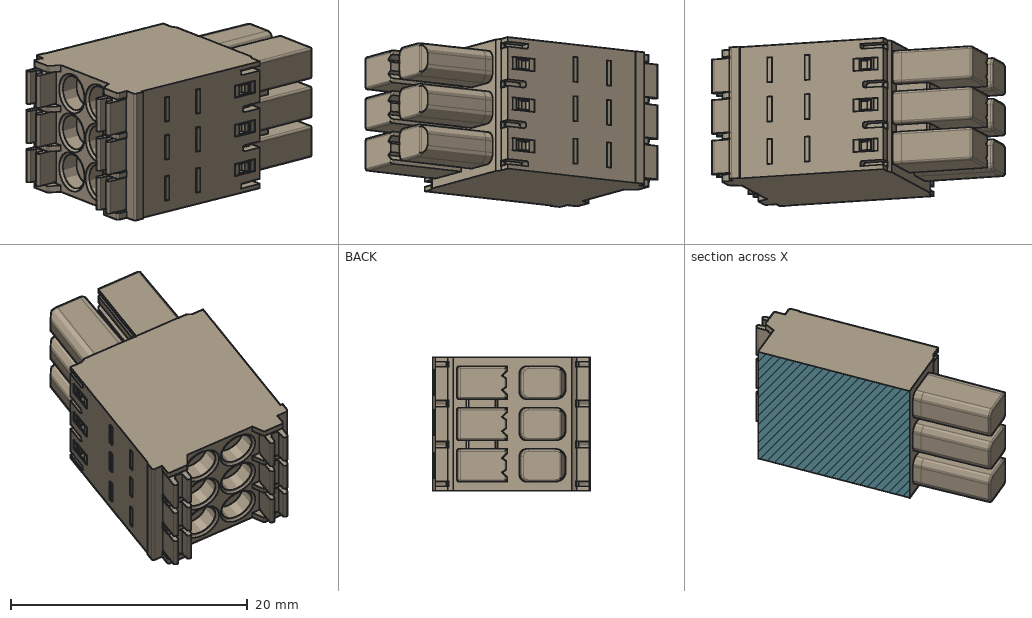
import cadquery as cq

ROW_PITCH = 3.49
ROW_HEIGHTS = [-ROW_PITCH, 0, ROW_PITCH]
OVERALL_LENGTH = 22.95
HEIGHT = 11.3
FRONT_TIP = -OVERALL_LENGTH / 2
BACK_TIP = OVERALL_LENGTH / 2

MIDDLE_X = -0.07
HOUSING_WIDTH = 13.04
HOUSING_LEFT = MIDDLE_X - HOUSING_WIDTH / 2
HOUSING_RIGHT = MIDDLE_X + HOUSING_WIDTH / 2
HOUSING_FRONT = -9.52
HOUSING_BACK = 4.22
RAISED_BACK = 4.45
RAISED_TOP_HALF_WIDTH = 5.0
RAISED_FOOT_HALF_WIDTH = 5.46

FLANGE_WIDTH = 13.3
FLANGE_LENGTH = 0.95
FLANGE_ROUND = 0.2

BORE_LEFT_X = -1.84
BORE_RIGHT_X = 1.72
BORE_DIAMETER = 2.94
BORE_MOUTH_DIAMETER = 3.4
BORE_DEPTH = 1.7

PLATE_OUTER = 5.67
PLATE_INNER_TIP = 3.76
PLATE_INNER_FOOT = 3.21
PLATE_LENGTH = 1.0
PLATE_ROUND = 0.18
MIDDLE_PLATE_THICKNESS = 0.48
END_PLATE_THICKNESS = 0.57

BLADE_HEIGHT = 2.87
BLADE_OUTER = 5.6
BLADE_INNER = 3.85
BLADE_FOOT_THICKNESS = 0.5
BLADE_TIP_THICKNESS = 0.44
BLADE_TIP_ROUND = 0.2
BLADE_GAP_FLOOR = -10.67
BLADE_GAP_ARCH = 0.18

POST_HEIGHT = 2.78
POST_TAPER_START = 5.19
LEFT_POST_LEFT = -4.6
LEFT_POST_RIGHT = -0.67
LEFT_POST_LEFT_ROUND = 0.9
LEFT_POST_RIGHT_ROUND = 0.62
LEFT_POST_LEFT_TAPER = 0.05
LEFT_POST_RIGHT_TAPER = 0.14
LEFT_POST_NOSE_WIDTH = 0.44
LEFT_POST_NOSE_LENGTH = 0.55
RIGHT_POST_LEFT = 0.37
RIGHT_POST_RIGHT = 4.61
RIGHT_POST_LIP = 0.37
RIGHT_POST_NOTCH_DEPTH = 0.44
RIGHT_POST_NOTCH_HALF = 0.6
RIGHT_POST_RIDGE = 0.35
RIGHT_POST_RIDGE_HALF = 0.37
RIGHT_POST_ROUND = 0.2
RIGHT_POST_TAPER = 0.1
POST_TIP_ROUND = 0.18
WEB_INSET = 0.8
WEB_BACK = 7.41
WEB_CHAMFER = 0.2

RIB_LENGTH = 0.4
RIB_FRONTS = [-2.75, -6.1]
RIB_HEIGHT = 2.13
RIB_MIDDLES = [-3.5, 0.14, 3.5]
RIB_PROTRUSION = 0.14
RIB_LEFT_PROTRUSION = 0.07

WINDOW_FRONT = 1.54
WINDOW_BACK = 3.72
WINDOW_HEIGHT = 1.05
WINDOW_DEPTH = 0.07
WINDOW_STEP = 3.3
WINDOW_STEP_DEPTH = 0.14
POCKET_FRONT = 2.05
POCKET_STEP = 2.73
POCKET_BACK = 3.1
POCKET_HEIGHT = 0.8
POCKET_DEPTH = 0.57
POCKET_STEP_DEPTH = 0.18
SLOT_DEPTH = 0.92
SLOT_STEP = 3.85
SLOT_MOUTH_DEPTH = 1.15
MIDDLE_SLOT_FRONT = 2.39
MIDDLE_SLOT_HEIGHT = 0.55
MIDDLE_SLOT_ROUND = 0.25
END_SLOT_FRONT = 2.18
END_SLOT_LOW = 4.82
END_SLOT_HIGH = 5.25
END_SLOT_ROUND = 0.2


def block(x_range, y_range, z_range):
    """Box between two limits along each axis."""
    sizes = [high - low for low, high in (x_range, y_range, z_range)]
    corner = (x_range[0], y_range[0], z_range[0])
    return cq.Workplane("XY").box(*sizes, centered=False).translate(corner)


def mirrored(shape):
    """The shape together with its mirror image across the housing's middle plane."""
    return shape.union(shape.mirror("YZ", (MIDDLE_X, 0, 0)))


def on_rows(shape):
    """Copies of the shape on all three contact rows."""
    rows = shape.translate((0, 0, ROW_HEIGHTS[0]))
    for z in ROW_HEIGHTS[1:]:
        rows = rows.union(shape.translate((0, 0, z)))
    return rows


def centred(length, middle=0.0):
    """Limits of a length about its middle."""
    return (middle - length / 2, middle + length / 2)


def housing():
    flange_back = HOUSING_FRONT + FLANGE_LENGTH
    outline = [
        (HOUSING_LEFT, flange_back),
        (HOUSING_LEFT, HOUSING_BACK),
        (MIDDLE_X - RAISED_FOOT_HALF_WIDTH, HOUSING_BACK),
        (MIDDLE_X - RAISED_TOP_HALF_WIDTH, RAISED_BACK),
        (MIDDLE_X + RAISED_TOP_HALF_WIDTH, RAISED_BACK),
        (MIDDLE_X + RAISED_FOOT_HALF_WIDTH, HOUSING_BACK),
        (HOUSING_RIGHT, HOUSING_BACK),
        (HOUSING_RIGHT, flange_back),
    ]
    body = cq.Workplane("XY").polyline(outline).close().extrude(HEIGHT / 2, both=True)
    flange = block(centred(FLANGE_WIDTH), (HOUSING_FRONT, flange_back), centred(HEIGHT))
    flange = flange.faces("<Y").edges("|Z").fillet(FLANGE_ROUND)
    return body.union(flange)


def bores():
    """Blind contact bore with a rounded mouth, in both columns of every row."""
    radius = BORE_DIAMETER / 2
    mouth_radius = BORE_MOUTH_DIAMETER / 2
    rounding = mouth_radius - radius
    profile = (
        cq.Workplane("XY")
        .moveTo(0, HOUSING_FRONT)
        .lineTo(mouth_radius, HOUSING_FRONT)
        .radiusArc((radius, HOUSING_FRONT + rounding), -rounding)
        .lineTo(radius, HOUSING_FRONT + BORE_DEPTH)
        .lineTo(0, HOUSING_FRONT + BORE_DEPTH)
        .close()
    )
    bore = profile.revolve(360, (0, 0, 0), (0, 1, 0))
    pair = bore.translate((BORE_LEFT_X, 0, 0)).union(bore.translate((BORE_RIGHT_X, 0, 0)))
    return on_rows(pair)


def guard_plate(bottom, top):
    """One tapered plate on the left of the housing's front face."""
    tip = HOUSING_FRONT - PLATE_LENGTH
    outline = [
        (MIDDLE_X - PLATE_OUTER, HOUSING_FRONT),
        (MIDDLE_X - PLATE_OUTER, tip),
        (MIDDLE_X - PLATE_INNER_TIP, tip),
        (MIDDLE_X - PLATE_INNER_FOOT, HOUSING_FRONT),
    ]
    plate = cq.Workplane("XY").workplane(offset=bottom).polyline(outline).close()
    return plate.extrude(top - bottom).faces("<Y").edges("|Z").fillet(PLATE_ROUND)


def guard_plates():
    end = HEIGHT / 2
    plates = guard_plate(end - END_PLATE_THICKNESS, end)
    plates = plates.union(guard_plate(-end, END_PLATE_THICKNESS - end))
    for z in (-ROW_PITCH / 2, ROW_PITCH / 2):
        plates = plates.union(guard_plate(*centred(MIDDLE_PLATE_THICKNESS, z)))
    return mirrored(plates)


def twin_blades():
    """A pair of tapered blades on a common root with an arched gap floor."""
    outer = MIDDLE_X - BLADE_OUTER
    inner = MIDDLE_X - BLADE_INNER
    middle = (outer + inner) / 2
    profile = (
        cq.Workplane("XY")
        .moveTo(outer, HOUSING_FRONT)
        .lineTo(outer, FRONT_TIP)
        .lineTo(outer + BLADE_TIP_THICKNESS, FRONT_TIP)
        .lineTo(outer + BLADE_FOOT_THICKNESS, BLADE_GAP_FLOOR)
        .threePointArc(
            (middle, BLADE_GAP_FLOOR + BLADE_GAP_ARCH),
            (inner - BLADE_FOOT_THICKNESS, BLADE_GAP_FLOOR),
        )
        .lineTo(inner - BLADE_TIP_THICKNESS, FRONT_TIP)
        .lineTo(inner, FRONT_TIP)
        .lineTo(inner, HOUSING_FRONT)
        .close()
    )
    blades = profile.extrude(BLADE_HEIGHT / 2, both=True)
    blades = blades.faces("<Y").edges("|Z").fillet(BLADE_TIP_ROUND)
    return mirrored(on_rows(blades))


def round_long_edges(post, on_side, radius):
    """Round a post's lengthwise edges whose middle lies on the wanted side."""
    long_edges = post.faces("<Z or >Z").edges("not |X").vals()
    return post.newObject([edge for edge in long_edges if on_side(edge.Center().x)]).fillet(radius)


def left_posts():
    """Tapered posts with rounded sides and a nose sloping back on the left."""
    half = POST_HEIGHT / 2
    post_middle = (LEFT_POST_LEFT + LEFT_POST_RIGHT) / 2
    outline = [
        (LEFT_POST_LEFT, HOUSING_BACK),
        (LEFT_POST_LEFT, POST_TAPER_START),
        (LEFT_POST_LEFT + LEFT_POST_LEFT_TAPER, BACK_TIP),
        (LEFT_POST_RIGHT - LEFT_POST_RIGHT_TAPER, BACK_TIP),
        (LEFT_POST_RIGHT, POST_TAPER_START),
        (LEFT_POST_RIGHT, HOUSING_BACK),
    ]
    post = cq.Workplane("XY").polyline(outline).close().extrude(half, both=True)
    post = round_long_edges(post, lambda x: x < post_middle, LEFT_POST_LEFT_ROUND)
    post = round_long_edges(post, lambda x: x > post_middle, LEFT_POST_RIGHT_ROUND)
    nose = [
        (LEFT_POST_LEFT, BACK_TIP),
        (LEFT_POST_LEFT + LEFT_POST_NOSE_WIDTH, BACK_TIP),
        (LEFT_POST_LEFT, BACK_TIP - LEFT_POST_NOSE_LENGTH),
    ]
    nose_cut = cq.Workplane("XY").polyline(nose).close().extrude(half, both=True)
    post = post.cut(nose_cut).faces(">Y").edges().fillet(POST_TIP_ROUND)
    return on_rows(post)


def right_posts():
    """Tapered posts notched along their left side, with a low ridge in the notch."""
    half = POST_HEIGHT / 2
    lip = half - RIGHT_POST_LIP
    notch_x = RIGHT_POST_LEFT + RIGHT_POST_NOTCH_DEPTH
    ridge_x = notch_x - RIGHT_POST_RIDGE
    outline = [
        (RIGHT_POST_LEFT, HOUSING_BACK),
        (RIGHT_POST_LEFT, BACK_TIP),
        (RIGHT_POST_RIGHT - RIGHT_POST_TAPER, BACK_TIP),
        (RIGHT_POST_RIGHT, POST_TAPER_START),
        (RIGHT_POST_RIGHT, HOUSING_BACK),
    ]
    post = cq.Workplane("XY").polyline(outline).close().extrude(half, both=True)
    post = round_long_edges(post, lambda x: x > notch_x, RIGHT_POST_ROUND)
    post = post.faces(">Y").edges().fillet(POST_TIP_ROUND)
    notch = [
        (RIGHT_POST_LEFT, -lip),
        (notch_x, -RIGHT_POST_NOTCH_HALF),
        (ridge_x, -RIGHT_POST_RIDGE_HALF),
        (ridge_x, RIGHT_POST_RIDGE_HALF),
        (notch_x, RIGHT_POST_NOTCH_HALF),
        (RIGHT_POST_LEFT, lip),
    ]
    sketch = cq.Workplane("XZ", origin=(0, BACK_TIP, 0)).polyline(notch).close()
    return on_rows(post.cut(sketch.extrude(BACK_TIP - HOUSING_BACK)))


def post_web():
    """Short web that joins the three right-hand posts."""
    web = block(
        (RIGHT_POST_LEFT + WEB_INSET, RIGHT_POST_RIGHT - WEB_INSET),
        (HOUSING_BACK, WEB_BACK),
        centred(2 * ROW_PITCH),
    )
    return web.faces(">Y").edges("|Z").chamfer(WEB_CHAMFER)


def side_ribs():
    ribs = cq.Workplane("XY")
    x_range = (HOUSING_LEFT - RIB_LEFT_PROTRUSION, HOUSING_RIGHT + RIB_PROTRUSION)
    for front in RIB_FRONTS:
        for z in RIB_MIDDLES:
            ribs = ribs.union(block(x_range, (front, front + RIB_LENGTH), centred(RIB_HEIGHT, z)))
    return ribs


def latch_windows():
    """Shallow stepped recess holding a stepped pocket, on each row of both side walls."""

    def recess(front, back, height, depth):
        return block((HOUSING_LEFT, HOUSING_LEFT + depth), (front, back), centred(height))

    window = recess(WINDOW_FRONT, WINDOW_BACK, WINDOW_HEIGHT, WINDOW_DEPTH)
    window = window.union(recess(WINDOW_STEP, WINDOW_BACK, WINDOW_HEIGHT, WINDOW_STEP_DEPTH))
    window = window.union(recess(POCKET_FRONT, POCKET_STEP, POCKET_HEIGHT, POCKET_DEPTH))
    window = window.union(recess(POCKET_STEP, POCKET_BACK, POCKET_HEIGHT, POCKET_STEP_DEPTH))
    return mirrored(on_rows(window))


def relief_slots():
    """Stepped slots open at the back end: round-ended between rows, one-cornered at top and bottom."""
    x_range = (HOUSING_LEFT, HOUSING_LEFT + SLOT_DEPTH)
    mouth_x = (HOUSING_LEFT, HOUSING_LEFT + SLOT_MOUTH_DEPTH)
    mouth_y = (SLOT_STEP, HOUSING_BACK)
    middle_z = centred(MIDDLE_SLOT_HEIGHT)
    middle = block(x_range, (MIDDLE_SLOT_FRONT, HOUSING_BACK), middle_z)
    middle = middle.edges("|X and <Y").fillet(MIDDLE_SLOT_ROUND)
    middle = middle.union(block(mouth_x, mouth_y, middle_z))
    end_z = (END_SLOT_LOW, END_SLOT_HIGH)
    end = block(x_range, (END_SLOT_FRONT, HOUSING_BACK), end_z)
    end = end.faces("<Y").edges("|X and <Z").fillet(END_SLOT_ROUND)
    end = end.union(block(mouth_x, mouth_y, end_z))
    slots = end.union(end.mirror("XY"))
    for z in (-ROW_PITCH / 2, ROW_PITCH / 2):
        slots = slots.union(middle.translate((0, 0, z)))
    return mirrored(slots)


result = housing().cut(bores()).cut(latch_windows()).cut(relief_slots())
for addition in (guard_plates(), twin_blades(), left_posts(), right_posts(), post_web(), side_ribs()):
    result = result.union(addition)